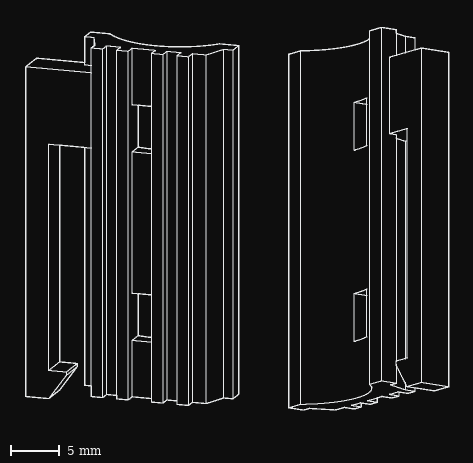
import cadquery as cq

body_length = 37.0
body_width = 16.0
body_depth = 4.5
flange_thickness = 1.9
flange_overhang = 1.0
base_width = 12.0

cradle_width = 11.85
cradle_depth = 2.8

rib_width = 1.25
rib_height = 1.25
rib_gap = 1.5
centre_gap = 2.5

window_height = 5.0
window_bottoms = (6.0, 26.0)

arm_reach = 5.5
arm_width = 2.5
arm_back_inset = 1.0
arm_bottom = -1.0
arm_top = 34.0
bridge_height = 8.0
hook_reach = 1.9
hook_height = 3.0
hook_tip_height = 0.35

half_width = body_width / 2
half_base = base_width / 2
front_y = -body_depth
first_rib_x = -half_base
rib_pitch = rib_width + rib_gap
pair_width = rib_pitch + rib_width
pair_starts = (first_rib_x, first_rib_x + pair_width + centre_gap)
ribs_per_pair = 2
rib_starts = [start + i * rib_pitch for start in pair_starts for i in range(ribs_per_pair)]
window_x = first_rib_x + pair_width


def make_body():
    """Flanged, tapered bar with a round cradle along its back."""
    half_cradle = cradle_width / 2
    half_neck = half_width - flange_overhang
    return (
        cq.Workplane("XY")
        .moveTo(-half_cradle, 0)
        .lineTo(-half_width, 0)
        .lineTo(-half_width, -flange_thickness)
        .lineTo(-half_neck, -flange_thickness)
        .lineTo(-half_base, front_y)
        .lineTo(half_base, front_y)
        .lineTo(half_neck, -flange_thickness)
        .lineTo(half_width, -flange_thickness)
        .lineTo(half_width, 0)
        .lineTo(half_cradle, 0)
        .threePointArc((0, -cradle_depth), (-half_cradle, 0))
        .close()
        .extrude(body_length)
    )


def make_rib(start_x):
    """Full-length rib standing on the front face, rooted in the floor."""
    root = (body_depth - cradle_depth) / 2
    rib = cq.Workplane("XY").box(rib_width, rib_height + root, body_length, centered=False)
    return rib.translate((start_x, front_y - rib_height, 0))


def make_window(bottom_z):
    """Cutter for a rectangular window through the floor into the cradle."""
    cutter = cq.Workplane("XY").box(centre_gap, body_depth, window_height, centered=False)
    return cutter.translate((window_x, front_y, bottom_z))


def make_clip():
    """Arm with a hook at its lower end and a bridge to the body at its upper end."""
    outer_x = -half_width - arm_reach
    inner_x = outer_x + arm_width
    hook_x = inner_x + hook_reach
    hook_top = arm_bottom + hook_height
    bridge_bottom = arm_top - bridge_height
    return (
        cq.Workplane("XZ", origin=(0, -arm_back_inset, 0))
        .moveTo(outer_x, arm_bottom)
        .lineTo(inner_x, arm_bottom)
        .lineTo(hook_x, hook_top - hook_tip_height)
        .lineTo(hook_x, hook_top)
        .lineTo(inner_x, hook_top)
        .lineTo(inner_x, bridge_bottom)
        .lineTo(-half_base, bridge_bottom)
        .lineTo(-half_base, arm_top)
        .lineTo(outer_x, arm_top)
        .close()
        .extrude(body_depth - arm_back_inset)
    )


result = make_body().union(make_clip())
for rib_start in rib_starts:
    result = result.union(make_rib(rib_start))
for window_bottom in window_bottoms:
    result = result.cut(make_window(window_bottom))